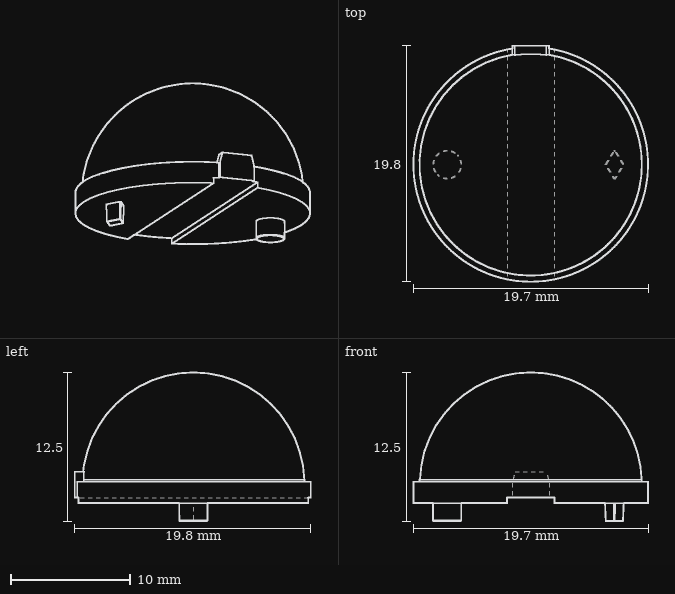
import cadquery as cq
import math

ring_radius = 9.85
ring_height = 1.8

collar_radius = 9.33
collar_height = 0.15
dome_base_radius = 9.31
dome_top = 10.97

slot_width = 3.96
slot_depth = 0.48

tab_width = 3.07
tab_top_width = 2.63
tab_top = 2.65
tab_outer_y = 9.96
tab_inner_y = 7.92

pin_offset = 7.01
pin_length = 1.5
pin_diameter = 2.4
diamond_width = 1.58
diamond_tip_width = 0.14
diamond_draft = 2
pin_chamfer = 0.05


def dome_body():
    """Revolve the ring, collar and spherical cap as one solid."""
    cap_base = ring_height + collar_height
    cap_height = dome_top - cap_base
    cap_radius = (dome_base_radius**2 + cap_height**2) / (2 * cap_height)
    cap_center_z = dome_top - cap_radius
    mid_angle = (math.asin((cap_base - cap_center_z) / cap_radius) + math.pi / 2) / 2
    cap_middle = (
        cap_radius * math.cos(mid_angle),
        cap_center_z + cap_radius * math.sin(mid_angle),
    )
    return (
        cq.Workplane("XZ")
        .lineTo(ring_radius, 0)
        .lineTo(ring_radius, ring_height)
        .lineTo(collar_radius, ring_height)
        .lineTo(collar_radius, cap_base)
        .lineTo(dome_base_radius, cap_base)
        .threePointArc(cap_middle, (0, dome_top))
        .close()
        .revolve(360, (0, 0), (0, 1))
    )


def underside_slot():
    return cq.Workplane("XY").box(
        slot_width, 2 * ring_radius, slot_depth, centered=(True, True, False)
    )


def key_tab():
    """Straight-sided through the ring, then narrowing above it."""
    profile = [
        (-tab_width / 2, slot_depth),
        (tab_width / 2, slot_depth),
        (tab_width / 2, ring_height),
        (tab_top_width / 2, tab_top),
        (-tab_top_width / 2, tab_top),
        (-tab_width / 2, ring_height),
    ]
    return (
        cq.Workplane("XZ", origin=(0, tab_outer_y, 0))
        .polyline(profile)
        .close()
        .extrude(tab_outer_y - tab_inner_y)
    )


def round_pin():
    return (
        cq.Workplane("XY", origin=(-pin_offset, 0, 0))
        .circle(pin_diameter / 2)
        .extrude(-pin_length)
        .faces("<Z")
        .chamfer(pin_chamfer)
    )


def diamond_pin():
    """Slightly drafted diamond, long in Y, with flattened tips."""
    half_width = diamond_width / 2
    half_length = pin_diameter / 2
    half_tip = diamond_tip_width / 2
    outline = [
        (half_width, 0),
        (half_tip, half_length),
        (-half_tip, half_length),
        (-half_width, 0),
        (-half_tip, -half_length),
        (half_tip, -half_length),
    ]
    return (
        cq.Workplane("XY", origin=(pin_offset, 0, 0))
        .polyline(outline)
        .close()
        .extrude(-pin_length, taper=diamond_draft)
        .faces("<Z")
        .chamfer(pin_chamfer / 2)
    )


result = dome_body().cut(underside_slot()).union(key_tab()).union(round_pin()).union(diamond_pin())